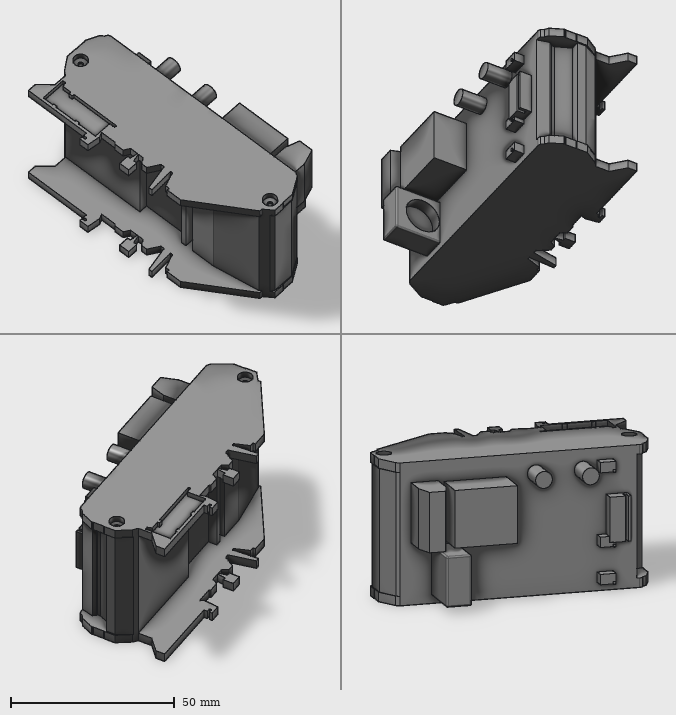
import cadquery as cq

HOUSING_WIDTH = 45.0
PLATE_THICKNESS = 3.0
UPPER_PLATE_Z = HOUSING_WIDTH - PLATE_THICKNESS

LEFT_BEVEL_TOP = (3.0, -19.2)
LEFT_BEVEL_BOTTOM = (4.5, -20.3)
RIGHT_BEVEL_BOTTOM = (82.9, -17.2)
RIGHT_BEVEL_TOP = (86.1, -14.9)

CORE_BACK_Y = LEFT_BEVEL_BOTTOM[1]
CORE_RECESS_Y = -17.3

FOOT_Y = -32.2
HOOK_TIP_Y = -35.1
SHALLOW_NOTCH_Y = -27.4
DEEP_NOTCH_Y = -25.6
BACK_LUG_Y = -29.4
RIGHT_PAD_Y = -31.4

PLATE_OUTLINE = [
    (4.7, 0),
    (81.2, 0),
    (82.4, -0.8),
    (85.9, -6.9),
    (85.9, -11.0),
    (86.1, -11.0),
    RIGHT_BEVEL_TOP,
    RIGHT_BEVEL_BOTTOM,
    (82.9, -18.2),
    (62.2, RIGHT_PAD_Y),
    (56.65, RIGHT_PAD_Y),
    (56.65, -30.6),
    (55.3, -30.6),
    (53.5, DEEP_NOTCH_Y),
    (52.7, DEEP_NOTCH_Y),
    (53.2, -34.5),
    (51.9, -34.5),
    (50.0, DEEP_NOTCH_Y),
    (48.7, DEEP_NOTCH_Y),
    (46.3, BACK_LUG_Y),
    (44.2, BACK_LUG_Y),
    (43.0, SHALLOW_NOTCH_Y),
    (41.1, SHALLOW_NOTCH_Y),
    (41.7, -30.1),
    (42.9, -30.1),
    (42.9, -33.75),
    (39.2, -33.75),
    (39.2, -30.1),
    (40.2, -30.1),
    (40.6, SHALLOW_NOTCH_Y),
    (37.8, SHALLOW_NOTCH_Y),
    (36.6, BACK_LUG_Y),
    (33.2, BACK_LUG_Y),
    (32.7, -28.85),
    (27.2, -28.85),
    (27.9, -30.5),
    (27.3, HOOK_TIP_Y),
    (23.9, HOOK_TIP_Y),
    (23.9, -34.1),
    (25.2, -34.1),
    (25.2, -33.4),
    (23.9, -33.4),
    (23.9, FOOT_Y),
    (0, FOOT_Y),
    (0, -29.1),
    (4.5, -25.05),
    LEFT_BEVEL_BOTTOM,
    LEFT_BEVEL_TOP,
    (0, -14.6),
    (0, -10.9),
    (0.1, -10.7),
    (0.1, -7.1),
    (0, -6.8),
    (0, -6.4),
    (2.0, -2.15),
    (3.2, -1.3),
    (3.8, -0.3),
]

POCKET_DEPTH = 1.7
POCKET_FLOOR_EDGE_Y = -31.2
POCKET_TOP_Y = -23.9
POCKET_TAB_Y = -24.7
POCKET_RIB_Y = -30.7
POCKET_OUTLINE = [
    (5.25, POCKET_FLOOR_EDGE_Y),
    (5.25, -22.4),
    (6.3, -22.4),
    (6.8, POCKET_TOP_Y),
    (9.9, POCKET_TOP_Y),
    (9.9, POCKET_TAB_Y),
    (11.3, POCKET_TAB_Y),
    (11.3, POCKET_TOP_Y),
    (28.85, POCKET_TOP_Y),
    (28.85, POCKET_TAB_Y),
    (26.8, POCKET_TAB_Y),
    (26.8, POCKET_FLOOR_EDGE_Y),
    (19.8, POCKET_FLOOR_EDGE_Y),
    (19.8, POCKET_RIB_Y),
    (18.25, POCKET_RIB_Y),
    (18.25, POCKET_FLOOR_EDGE_Y),
    (10.4, POCKET_FLOOR_EDGE_Y),
    (10.4, POCKET_RIB_Y),
    (9.1, POCKET_RIB_Y),
    (9.1, POCKET_FLOOR_EDGE_Y),
]

SCREW_POINTS = [(4.05, -13.0), (82.3, -13.0)]
SCREW_HOLE_DIAMETER = 1.7
SCREW_HEAD_DIAMETER = 4.7
SCREW_HEAD_DEPTH = 2.1

TAB_X = 13.3
TAB_LENGTH = 5.0
TAB_HEIGHT = 3.3
TAB_WIDTH = 3.3
TAB_FIRST_Z = 2.7
TAB_PITCH = 11.75
TAB_PLACES = [0, 1, 3]
STUD_X = 13.95
STUD_HEIGHT = 0.6
STUD_BASE_RADIUS = 0.3
STUD_TOP_RADIUS = 0.5
STUD_Z_IN_TAB = 0.4

LEVER_X = (8.7, 15.4)
LEVER_Z = (15.9, 30.2)
LEVER_HEIGHT = 4.05
LEVER_SLOT_X = (9.6, 10.4)
LEVER_SLOT_FLOOR = 1.5

POST_X = [22.9, 37.9]
POST_Z = 38.5
POST_DIAMETER = 5.3
POST_HEIGHT = 8.5

RELAY_X = (47.3, 67.25)
RELAY_Z = (20.0, 38.1)
RELAY_HEIGHT = 11.5

TERMINAL_Z = (19.55, 38.6)
TERMINAL_OUTLINE = [(69.05, 0), (69.05, 8.2), (70.7, 13.1), (75.85, 13.1), (77.7, 7.7), (77.7, 0)]

JACK_X = (63.1, 71.1)
JACK_Z = (2.5, 18.5)
JACK_HEIGHT = 15.5
JACK_EDGE_RADIUS = 0.5
JACK_BORE_DIAMETER = 11.7
JACK_BORE_CENTRE = (6.1, 10.5)
JACK_BORE_DEPTH = (JACK_X[1] - JACK_X[0]) / 2


def prism(outline, z_start, z_end):
    """Closed XY outline extruded from z_start to z_end."""
    return cq.Workplane("XY").workplane(offset=z_start).polyline(outline).close().extrude(z_end - z_start)


def deck_block(x_range, height, z_range):
    """Rectangular block standing on the deck."""
    size_x = x_range[1] - x_range[0]
    size_z = z_range[1] - z_range[0]
    return cq.Workplane("XY").box(size_x, height, size_z, centered=False).translate((x_range[0], 0, z_range[0]))


def point_on_line(start, end, x):
    """Point at the given X on the straight line through start and end."""
    slope = (end[1] - start[1]) / (end[0] - start[0])
    return (x, start[1] + slope * (x - start[0]))


def make_core():
    outline = [
        (5.6, 0),
        (4.6, -4.1),
        (5.3, -5.2),
        (5.7, -5.2),
        (5.7, -6.4),
        (3.45, -11.4),
        (0.4, -11.4),
        (0.4, -14.4),
        point_on_line(LEFT_BEVEL_TOP, LEFT_BEVEL_BOTTOM, 3.2),
        LEFT_BEVEL_BOTTOM,
        (35.2, CORE_BACK_Y),
        (35.2, CORE_RECESS_Y),
        (52.35, CORE_RECESS_Y),
        (52.35, CORE_BACK_Y),
        (54.2, CORE_BACK_Y),
        (54.2, CORE_RECESS_Y),
        (57.0, CORE_RECESS_Y),
        (57.0, CORE_BACK_Y),
        (65.6, CORE_BACK_Y),
        point_on_line(RIGHT_BEVEL_BOTTOM, RIGHT_BEVEL_TOP, 82.1),
        point_on_line(RIGHT_BEVEL_BOTTOM, RIGHT_BEVEL_TOP, 84.8),
        (85.7, -14.4),
        (85.7, -6.9),
        (82.2, -0.8),
        (81.2, 0),
    ]
    return prism(outline, PLATE_THICKNESS, UPPER_PLATE_Z)


def tab_z(place):
    return TAB_FIRST_Z + place * TAB_PITCH


def make_tab(place):
    """Deck tab with a flared stud on top."""
    z_start = tab_z(place)
    tab = deck_block((TAB_X, TAB_X + TAB_LENGTH), TAB_HEIGHT, (z_start, z_start + TAB_WIDTH))
    stud = cq.Solid.makeCone(
        STUD_BASE_RADIUS,
        STUD_TOP_RADIUS,
        STUD_HEIGHT,
        pnt=cq.Vector(STUD_X, TAB_HEIGHT, z_start + STUD_Z_IN_TAB),
        dir=cq.Vector(0, 1, 0),
    )
    return tab.union(cq.Workplane(stud))


def make_housing():
    lower_plate = prism(PLATE_OUTLINE, 0, PLATE_THICKNESS)
    upper_plate = prism(PLATE_OUTLINE, UPPER_PLATE_Z, HOUSING_WIDTH)
    housing = make_core().union(lower_plate).union(upper_plate)
    for place in TAB_PLACES:
        housing = housing.union(make_tab(place))
    pocket = prism(POCKET_OUTLINE, HOUSING_WIDTH - POCKET_DEPTH, HOUSING_WIDTH)
    screw_holes = (
        cq.Workplane("XY")
        .workplane(offset=UPPER_PLATE_Z)
        .pushPoints(SCREW_POINTS)
        .circle(SCREW_HOLE_DIAMETER / 2)
        .extrude(PLATE_THICKNESS)
    )
    screw_heads = (
        cq.Workplane("XY")
        .workplane(offset=HOUSING_WIDTH - SCREW_HEAD_DEPTH)
        .pushPoints(SCREW_POINTS)
        .circle(SCREW_HEAD_DIAMETER / 2)
        .extrude(SCREW_HEAD_DEPTH)
    )
    return housing.cut(pocket).cut(screw_holes).cut(screw_heads)


def make_lever(housing):
    """Slotted block, notched where it reaches over a deck tab."""
    block = deck_block(LEVER_X, LEVER_HEIGHT, LEVER_Z)
    slot = deck_block(LEVER_SLOT_X, LEVER_HEIGHT, LEVER_Z).translate((0, LEVER_SLOT_FLOOR, 0))
    return block.cut(slot).cut(housing)


def make_post(x):
    base = cq.Workplane("XZ", origin=(x, 0, POST_Z))
    return base.circle(POST_DIAMETER / 2).extrude(-POST_HEIGHT)


def make_jack():
    """Block with rounded edges, bored from its -X face."""
    block = deck_block(JACK_X, JACK_HEIGHT, JACK_Z)
    block = block.edges("not <Y").fillet(JACK_EDGE_RADIUS)
    bore = (
        cq.Workplane("YZ", origin=(JACK_X[0], 0, 0))
        .center(*JACK_BORE_CENTRE)
        .circle(JACK_BORE_DIAMETER / 2)
        .extrude(JACK_BORE_DEPTH)
    )
    return block.cut(bore)


housing = make_housing()
lever = make_lever(housing)
posts = [make_post(x) for x in POST_X]
relay = deck_block(RELAY_X, RELAY_HEIGHT, RELAY_Z)
terminal = prism(TERMINAL_OUTLINE, *TERMINAL_Z)
jack = make_jack()

result = cq.Compound.makeCompound(
    [
        housing.val(),
        lever.val(),
        *[post.val() for post in posts],
        relay.val(),
        terminal.val(),
        jack.val(),
    ]
)